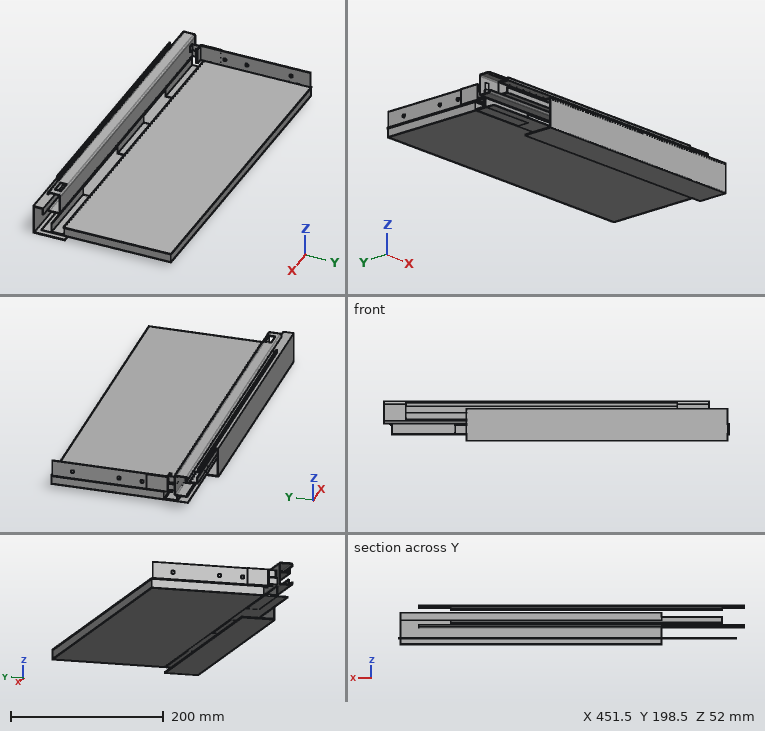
import cadquery as cq

LENGTH = 451.5
DEPTH = 198.5
SHEET = 1.5
BEND = 2.5

BASE_START = 10.5
BASE_FRONT = 12.0
BASE_BOTTOM = 8.0
BASE_THICKNESS = 1.0
TAB_BACK = 43.5
TAB_THICKNESS = 2.3
NOTCH_TOP = 20.8
NOTCHES = ((93.0, 162.5), (244.0, 353.0))
BOARD_FRONT = 45.0
COVER_FRONT = 44.0
COVER_TOP = 21.5
BASE_TOP = BASE_BOTTOM + BASE_THICKNESS
COVER_BOTTOM = COVER_TOP - SHEET

WALL_START = BASE_START - SHEET
WALL_THICKNESS = 2.0
WALL_TOP = 43.5
WALL_FRONT = 40.0
WALL_BACK = 197.5
WALL_END = WALL_START + WALL_THICKNESS
HOLE_DIAMETER = 4.5
HOLE_HEIGHT = 31.0
HOLE_PLACES = (74.5, 106.0, 169.8)

BRACKET_BACK = 68.0
BRACKET_REACH = 20.5
BRACKET_LIP = 2.0
UPPER_TAB_BOTTOM = 34.5
LOWER_TAB_TOP = 33.0
LOWER_TAB_BOTTOM = 24.5
WEB_PAD_REACH = 17.5
FOOT_LENGTH = 5.5
FOOT_HEIGHT = 2.0

CHANNEL_LENGTH = 425.5
CHANNEL_BACK = 27.5
CHANNEL_FRONT = 9.0
CHANNEL_BOTTOM = 22.0
CHANNEL_TOP = 52.0
CHANNEL_LIP = 4.0
WINDOW_START = 397.8
WINDOW_LENGTH = 18.0
WINDOW_FRONT = 15.5
WINDOW_WIDTH = 8.5

RAIL_START = 29.0
RAIL_END = 384.0
RAIL_BACK = 21.0
RAIL_BOTTOM = 27.0
RAIL_TOP = 48.0
RAIL_STEP = 1.5
RAIL_STEP_PLACE = 14.5
UPPER_LIP_FRONT = 3.0
UPPER_LIP_TOP = 49.5
LOWER_LIP_FRONT = 4.5
LOWER_LIP_TOP = 36.5

MOUNT_START = 108.0
MOUNT_END = 449.5
MOUNT_THICKNESS = 1.6
MOUNT_TOP = 42.0
MOUNT_FOOT = 45.0
MOUNT_HOOK_BACK = 14.5
MOUNT_HOOK_BOTTOM = 32.0


def block(x0, x1, y0, y1, z0, z1):
    """Box between two corners."""
    return cq.Workplane("XY").box(x1 - x0, y1 - y0, z1 - z0, centered=False).translate((x0, y0, z0))


def extrude_along_x(points, start, end):
    """Extrude a closed (Y, Z) outline from X = start to X = end."""
    return cq.Workplane("YZ", origin=(start, 0, 0)).polyline(points).close().extrude(end - start)


def make_base_profile():
    """Base plate with an upright that carries the outer channel, and tabs between its notches."""
    upright_front = CHANNEL_BACK - SHEET
    plate = block(BASE_START, LENGTH, BASE_FRONT, DEPTH, BASE_BOTTOM, BASE_TOP)
    upright = block(BASE_START, LENGTH, upright_front, CHANNEL_BACK, BASE_TOP, CHANNEL_BOTTOM)
    tabs = block(BASE_START, LENGTH, CHANNEL_BACK, TAB_BACK, BASE_TOP, BASE_BOTTOM + TAB_THICKNESS)
    profile = plate.union(upright).union(tabs)
    for start, end in NOTCHES:
        profile = profile.cut(block(start, end, upright_front, TAB_BACK, BASE_TOP, NOTCH_TOP))
    return profile


def make_board():
    return block(BASE_START, LENGTH, BOARD_FRONT, DEPTH, BASE_TOP, COVER_BOTTOM)


def make_cover_sheet():
    return block(WALL_START, LENGTH, COVER_FRONT, DEPTH, COVER_BOTTOM, COVER_TOP)


def make_end_wall():
    wall = block(WALL_START, WALL_END, WALL_FRONT, WALL_BACK, COVER_TOP, WALL_TOP)
    holes = (
        cq.Workplane("YZ", origin=(WALL_START, 0, 0))
        .pushPoints([(y, HOLE_HEIGHT) for y in HOLE_PLACES])
        .circle(HOLE_DIAMETER / 2)
        .extrude(WALL_THICKNESS)
    )
    return wall.cut(holes)


def make_corner_bracket():
    """Plate on the end wall, folded to a lipped flange, with tabs that reach the outer channel."""
    outer = WALL_START - SHEET
    flange_front = WALL_FRONT - SHEET
    lip_start = BRACKET_REACH - SHEET
    lip_front = flange_front - BRACKET_LIP
    foot_front = flange_front - FOOT_LENGTH
    foot_top = COVER_TOP + FOOT_HEIGHT
    upper_tab_end = WALL_END + SHEET
    pad_back = CHANNEL_BACK + SHEET

    bracket = block(outer, WALL_START, flange_front, BRACKET_BACK, COVER_TOP, WALL_TOP)
    pieces = (
        block(outer, BRACKET_REACH, flange_front, WALL_FRONT, COVER_TOP, WALL_TOP),
        block(lip_start, BRACKET_REACH, lip_front, flange_front, COVER_TOP, WALL_TOP),
        block(WALL_START, WALL_END, CHANNEL_BACK, flange_front, LOWER_TAB_BOTTOM, LOWER_TAB_TOP),
        block(WALL_END, upper_tab_end, CHANNEL_BACK, flange_front, UPPER_TAB_BOTTOM, WALL_TOP),
        block(upper_tab_end, WEB_PAD_REACH, CHANNEL_BACK, pad_back, UPPER_TAB_BOTTOM, WALL_TOP),
        block(WALL_START, WALL_END, foot_front, flange_front, COVER_TOP, foot_top),
    )
    for piece in pieces:
        bracket = bracket.union(piece)
    return bracket


def make_outer_channel():
    """C-shaped channel, open toward -Y, with a window near the +X end of its upper flange."""
    depth = CHANNEL_BACK - CHANNEL_FRONT
    height = CHANNEL_TOP - CHANNEL_BOTTOM
    outside = block(0, CHANNEL_LENGTH, CHANNEL_FRONT, CHANNEL_BACK, CHANNEL_BOTTOM, CHANNEL_TOP)
    outside = outside.edges("|X").fillet(BEND)
    cavity = (
        cq.Workplane("XY")
        .box(CHANNEL_LENGTH, depth - 2 * SHEET, height - 2 * SHEET, centered=False)
        .edges("|X")
        .fillet(BEND - SHEET)
        .translate((0, CHANNEL_FRONT + SHEET, CHANNEL_BOTTOM + SHEET))
    )
    mouth = block(
        0, CHANNEL_LENGTH, CHANNEL_FRONT, CHANNEL_FRONT + SHEET,
        CHANNEL_BOTTOM + CHANNEL_LIP, CHANNEL_TOP - CHANNEL_LIP,
    )
    window = block(
        WINDOW_START, WINDOW_START + WINDOW_LENGTH, WINDOW_FRONT, WINDOW_FRONT + WINDOW_WIDTH,
        CHANNEL_TOP - SHEET, CHANNEL_TOP,
    )
    return outside.cut(cavity).cut(mouth).cut(window)


def make_intermediate_rail():
    """Rail with a crown at the top and bottom of its web and a lipped track in front of each."""
    upper_track = RAIL_TOP - RAIL_STEP
    lower_track = RAIL_BOTTOM + RAIL_STEP
    outline = [
        (RAIL_BACK, RAIL_BOTTOM),
        (RAIL_BACK, RAIL_TOP),
        (RAIL_STEP_PLACE, RAIL_TOP),
        (RAIL_STEP_PLACE, upper_track),
        (UPPER_LIP_FRONT + SHEET, upper_track),
        (UPPER_LIP_FRONT + SHEET, UPPER_LIP_TOP),
        (UPPER_LIP_FRONT, UPPER_LIP_TOP),
        (UPPER_LIP_FRONT, upper_track - SHEET),
        (RAIL_STEP_PLACE + SHEET, upper_track - SHEET),
        (RAIL_STEP_PLACE + SHEET, RAIL_TOP - SHEET),
        (RAIL_BACK - SHEET, RAIL_TOP - SHEET),
        (RAIL_BACK - SHEET, RAIL_BOTTOM + SHEET),
        (RAIL_STEP_PLACE + SHEET, RAIL_BOTTOM + SHEET),
        (RAIL_STEP_PLACE + SHEET, lower_track + SHEET),
        (LOWER_LIP_FRONT + SHEET, lower_track + SHEET),
        (LOWER_LIP_FRONT + SHEET, LOWER_LIP_TOP),
        (LOWER_LIP_FRONT, LOWER_LIP_TOP),
        (LOWER_LIP_FRONT, lower_track),
        (RAIL_STEP_PLACE, lower_track),
        (RAIL_STEP_PLACE, RAIL_BOTTOM),
    ]
    return extrude_along_x(outline, RAIL_START, RAIL_END)


def make_mounting_profile():
    """Sheet profile with a foot at the bottom and a hook turned down inside the rail."""
    t = MOUNT_THICKNESS
    outline = [
        (0, 0),
        (MOUNT_FOOT, 0),
        (MOUNT_FOOT, t),
        (t, t),
        (t, MOUNT_TOP - t),
        (MOUNT_HOOK_BACK - t, MOUNT_TOP - t),
        (MOUNT_HOOK_BACK - t, MOUNT_HOOK_BOTTOM),
        (MOUNT_HOOK_BACK, MOUNT_HOOK_BOTTOM),
        (MOUNT_HOOK_BACK, MOUNT_TOP),
        (0, MOUNT_TOP),
    ]
    return extrude_along_x(outline, MOUNT_START, MOUNT_END)


base_profile = make_base_profile()
board = make_board()
cover_sheet = make_cover_sheet()
end_wall = make_end_wall()
corner_bracket = make_corner_bracket()
outer_channel = make_outer_channel()
intermediate_rail = make_intermediate_rail()
mounting_profile = make_mounting_profile()

result = cq.Compound.makeCompound([
    base_profile.val(),
    board.val(),
    cover_sheet.val(),
    end_wall.val(),
    corner_bracket.val(),
    outer_channel.val(),
    intermediate_rail.val(),
    mounting_profile.val(),
])